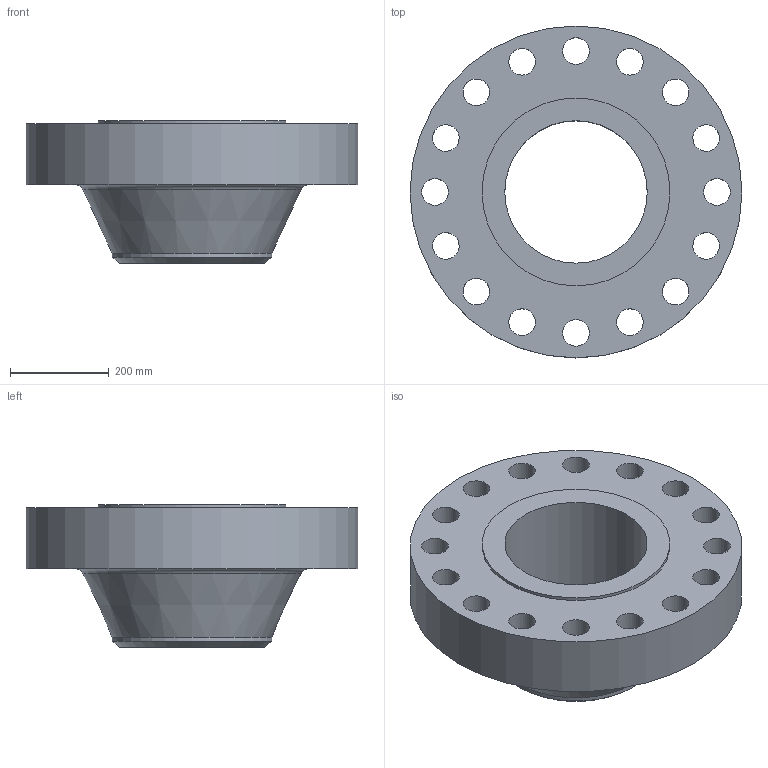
import math
import cadquery as cq


flange_diameter = 673.1
flange_thickness = 123.8
raised_face_diameter = 381.0
raised_face_height = 6.35
overall_height = 288.93

bolt_hole_count = 16
bolt_hole_diameter = 54.0
bolt_circle_diameter = 571.5

hub_diameter = 450.9
hub_fillet_radius = 16.0
weld_diameter = 323.85
pipe_wall = 17.45
weld_land = 1.6
weld_bevel_height = 12.2
weld_neck_length = 8.0

face_level = overall_height - raised_face_height
flange_underside = face_level - flange_thickness
bore_radius = weld_diameter / 2 - pipe_wall
neck_top = weld_bevel_height + weld_neck_length


def flange_body():
    """Revolve the half section, including the bore."""
    weld_radius = weld_diameter / 2
    hub_radius = hub_diameter / 2
    flange_radius = flange_diameter / 2
    raised_face_radius = raised_face_diameter / 2

    hub_rise = flange_underside - neck_top
    cone_angle = math.atan2(hub_rise, hub_radius - weld_radius)
    tangent_length = hub_fillet_radius * math.tan(cone_angle / 2)
    fillet_start = (
        hub_radius - tangent_length * math.cos(cone_angle),
        flange_underside - tangent_length * math.sin(cone_angle),
    )
    fillet_end = (hub_radius + tangent_length, flange_underside)
    fillet_middle = (
        fillet_end[0] - hub_fillet_radius * math.sin(cone_angle / 2),
        flange_underside - hub_fillet_radius * (1 - math.cos(cone_angle / 2)),
    )

    section = (
        cq.Workplane("XZ")
        .moveTo(bore_radius, 0)
        .lineTo(bore_radius + weld_land, 0)
        .lineTo(weld_radius, weld_bevel_height)
        .lineTo(weld_radius, neck_top)
        .lineTo(*fillet_start)
        .threePointArc(fillet_middle, fillet_end)
        .lineTo(flange_radius, flange_underside)
        .lineTo(flange_radius, face_level)
        .lineTo(raised_face_radius, face_level)
        .lineTo(raised_face_radius, overall_height)
        .lineTo(bore_radius, overall_height)
        .close()
    )
    return section.revolve(360, (0, 0, 0), (0, 1, 0))


def bolt_holes():
    """Cylinders through the disc, evenly spaced on the bolt circle."""
    return (
        cq.Workplane("XY", origin=(0, 0, flange_underside))
        .polarArray(bolt_circle_diameter / 2, 0, 360, bolt_hole_count)
        .circle(bolt_hole_diameter / 2)
        .extrude(flange_thickness)
    )


result = flange_body().cut(bolt_holes())